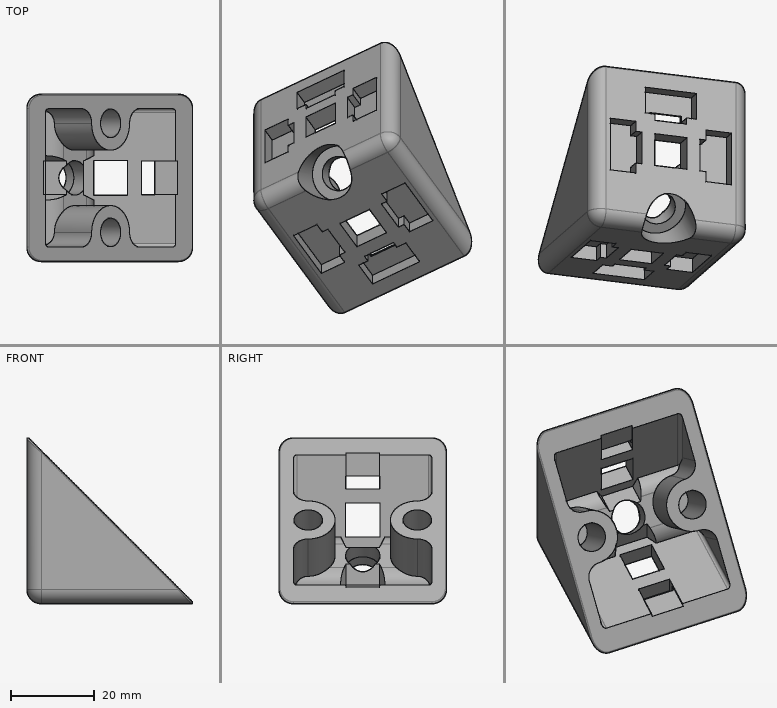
import cadquery as cq
import math


ROOT2 = math.sqrt(2)
EIGHTH_PI = math.pi / 8

SIZE = 40.0
HALF = SIZE / 2
OUTER_RADIUS = 3.5
SLOPE_EDGE_RADIUS = 0.3

LEG_WALL = 4.5
SIDE_WALL = OUTER_RADIUS
SIDE_FACE = HALF - SIDE_WALL
CAVITY_FILLET = 0.9

WINDOW = 8.0
WINDOW_WIDTH = 8.2
NECK_WIDTH = 8.0
POCKET_DEPTH = 3.5
POCKET_NECK_START = 7.4
POCKET_HEAD_START = 8.95
POCKET_END = 15.45
POCKET_HEAD_WIDTH = 13.05
SLOT_LENGTH = 3.1
RECESS_DEPTH = 0.5

BLOCK_SIZE = HALF - WINDOW / 2
BLOCK_BEVEL_SUM = 22.95
BLOCK_RADIUS = (BLOCK_BEVEL_SUM - BLOCK_SIZE - LEG_WALL) / math.tan(EIGHTH_PI)
NOTCH_FLOOR = 13.5
NOTCH_ANGLE = 27.0

CORNER_HOLE_DIAMETER = 8.2
CORNER_BORE_DIAMETER = 13.2
CORNER_BORE_SUM = 16.65

BOSS_RADIUS = 6.4
BOSS_Y = 13.0
BOSS_HOLE_DIAMETER = 6.8
BOSS_HOLE_DEPTH = 16.0

SLOPE_DISTANCE = SIZE / ROOT2


def diagonal_plane(distance):
    """Plane parallel to the sloping face; local x runs down the slope, local y along Y."""
    offset = distance / ROOT2
    return cq.Workplane(cq.Plane(origin=(offset, 0, offset), xDir=(1, 0, -1), normal=(1, 0, 1)))


def on_both_legs(cutter):
    """Pair a cutter for the X = 0 leg with its twin for the Z = 0 leg."""
    return cutter.union(cutter.mirror(cq.Vector(1, 0, -1)))


def box(x_range, y_range, z_range):
    """Block spanning a (low, high) range along each axis."""
    sizes = [high - low for low, high in (x_range, y_range, z_range)]
    corner = (x_range[0], y_range[0], z_range[0])
    return cq.Workplane("XY").box(*sizes, centered=False).translate(corner)


def make_wedge():
    block = box((0, SIZE), (-HALF, HALF), (0, SIZE))
    block = block.faces("<X or <Z").edges("not(>X or >Z)").fillet(OUTER_RADIUS)
    wedge = block.cut(diagonal_plane(SLOPE_DISTANCE).rect(2 * SIZE, 2 * SIZE).extrude(SIZE))
    return wedge.faces(">(1, 0, 1)").edges().fillet(SLOPE_EDGE_RADIUS)


def make_cavity():
    """Hollow between the legs, stepping over the corner block, with the bosses left standing."""
    arc_center = BLOCK_SIZE - BLOCK_RADIUS
    arc_end_x = LEG_WALL + BLOCK_RADIUS / ROOT2
    arc_end_z = arc_center + BLOCK_RADIUS / ROOT2
    arc_mid_x = LEG_WALL + BLOCK_RADIUS * math.sin(EIGHTH_PI)
    arc_mid_z = arc_center + BLOCK_RADIUS * math.cos(EIGHTH_PI)
    cavity = (
        cq.Workplane("XZ", origin=(0, SIDE_FACE, 0))
        .moveTo(LEG_WALL, SIZE)
        .lineTo(LEG_WALL, BLOCK_SIZE)
        .threePointArc((arc_mid_x, arc_mid_z), (arc_end_x, arc_end_z))
        .lineTo(arc_end_z, arc_end_x)
        .threePointArc((arc_mid_z, arc_mid_x), (BLOCK_SIZE, LEG_WALL))
        .lineTo(SIZE, LEG_WALL)
        .lineTo(SIZE, SIZE)
        .close()
        .extrude(2 * SIDE_FACE)
    )
    cavity = cavity.faces("<Y or >Y").edges("not(>X or >Z)").fillet(CAVITY_FILLET)
    return cavity.cut(make_boss(1)).cut(make_boss(-1))


def make_boss(side):
    """Boss profile: a half round that flares into the side wall."""
    flare = SIDE_FACE - BOSS_Y
    wall_y = side * SIDE_FACE
    base_y = side * HALF
    center_y = side * BOSS_Y
    foot = BOSS_RADIUS + flare
    flare_mid_x = foot - flare / ROOT2
    flare_mid_y = side * (BOSS_Y + flare / ROOT2)
    return (
        diagonal_plane(0)
        .moveTo(-foot, base_y)
        .lineTo(-foot, wall_y)
        .threePointArc((-flare_mid_x, flare_mid_y), (-BOSS_RADIUS, center_y))
        .threePointArc((0, side * (BOSS_Y - BOSS_RADIUS)), (BOSS_RADIUS, center_y))
        .threePointArc((flare_mid_x, flare_mid_y), (foot, wall_y))
        .lineTo(foot, base_y)
        .close()
        .extrude(SLOPE_DISTANCE)
    )


def make_leg_openings():
    """Everything cut through or into the X = 0 leg."""
    window_y = (-WINDOW_WIDTH / 2, WINDOW_WIDTH / 2)
    neck_y = (-NECK_WIDTH / 2, NECK_WIDTH / 2)
    through_wall = (0, LEG_WALL)
    slot_start = HALF + POCKET_NECK_START
    slot_end = slot_start + SLOT_LENGTH
    pocket = (
        box((0, POCKET_DEPTH), neck_y, (slot_start, HALF + POCKET_END))
        .union(box(
            (0, POCKET_DEPTH),
            (-POCKET_HEAD_WIDTH / 2, POCKET_HEAD_WIDTH / 2),
            (HALF + POCKET_HEAD_START, HALF + POCKET_END),
        ))
    )
    openings = box(through_wall, window_y, (BLOCK_SIZE, SIZE - BLOCK_SIZE))
    for angle in (-90, 0, 90):
        openings = openings.union(pocket.rotate((0, 0, HALF), (1, 0, HALF), angle))
    slot = box(through_wall, neck_y, (slot_start, slot_end))
    recess = box((LEG_WALL - RECESS_DEPTH, LEG_WALL), neck_y, (slot_end, SIZE))
    return openings.union(slot).union(recess)


def make_notch():
    """Flared notch in the side of the corner block that faces +X."""
    top_half = NECK_WIDTH / 2 + (BLOCK_SIZE - NOTCH_FLOOR) * math.tan(math.radians(NOTCH_ANGLE))
    return (
        cq.Workplane("XY", origin=(0, 0, LEG_WALL))
        .polyline([
            (NOTCH_FLOOR, -NECK_WIDTH / 2),
            (NOTCH_FLOOR, NECK_WIDTH / 2),
            (BLOCK_SIZE, top_half),
            (BLOCK_SIZE, -top_half),
        ])
        .close()
        .extrude(BLOCK_SIZE - LEG_WALL)
    )


def make_corner_hole():
    bore = diagonal_plane(0).circle(CORNER_BORE_DIAMETER / 2).extrude(CORNER_BORE_SUM / ROOT2)
    hole = diagonal_plane(0).circle(CORNER_HOLE_DIAMETER / 2).extrude(BLOCK_BEVEL_SUM / ROOT2)
    return bore.union(hole)


def make_boss_holes():
    return (
        diagonal_plane(SLOPE_DISTANCE)
        .pushPoints([(0, -BOSS_Y), (0, BOSS_Y)])
        .circle(BOSS_HOLE_DIAMETER / 2)
        .extrude(-BOSS_HOLE_DEPTH)
    )


result = (
    make_wedge()
    .cut(make_cavity())
    .cut(on_both_legs(make_leg_openings()))
    .cut(on_both_legs(make_notch()))
    .cut(make_corner_hole())
    .cut(make_boss_holes())
)